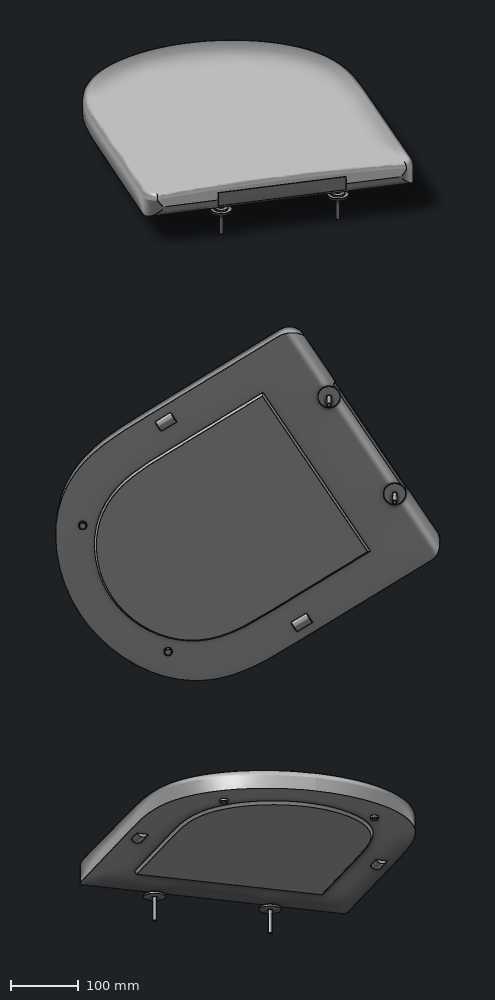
import cadquery as cq
import math

length = 510.5
width = 416.0
half_width = width / 2
straight_start = 248.5
corner_radius = 28.5
rim_fillet = 11.0

nose_pull = 0.53
shoulder_along = 0.29
shoulder_across = 1.02
side_pull = 0.60

nose_height = 30.5
shoulder_height = 43.0
rear_height = 45.5
blank_height = 51.0
crown_mid_height = 39.0
rear_round = 20.5
rear_top_setback = 8.0
crown_radius = 3471.5
swing_margin = 1.2

relief_half_width = 98.5
relief_depth = 3.5
relief_top = 30.5

panel_front = 52.5
panel_rear = 414.5
panel_half_width = 147.0
panel_thickness = 5.0
panel_taper = 30.0

button_x = 78.5
button_y = 117.0
button_diameter = 12.0
button_height = 4.5
button_chamfer = 1.5
bar_x = 256.0
bar_y = 186.0
bar_length = 27.0
bar_diameter = 20.0
bar_drop = 5.0

hinge_y = 90.0
foot_diameter = 33.0
foot_bottom = -6.5
foot_thickness = 3.5
foot_chamfer = 0.5
collar_diameter = 21.0
collar_top = -0.5
shank_diameter = 6.0
shank_bottom = -44.0
shank_chamfer = 0.5
neck_diameter = 7.0
neck_top = 10.0
hinge_x = length - foot_diameter / 2
hinge_points = [(hinge_x, side * hinge_y) for side in (-1, 1)]


def d_outline(front, rear, half):
    """Closed D outline: a smooth nose at the front and a square rear end."""
    depth = straight_start - front
    shoulder_x = front + shoulder_along * depth
    shoulder_y = shoulder_across * half
    side_x = front + side_pull * depth
    nose_y = nose_pull * half
    return (
        cq.Workplane("XY")
        .moveTo(straight_start, -half)
        .lineTo(rear, -half)
        .lineTo(rear, half)
        .lineTo(straight_start, half)
        .bezier(
            [(side_x, half), (shoulder_x, shoulder_y), (front, nose_y), (front, 0)],
            includeCurrent=True,
        )
        .bezier(
            [(front, -nose_y), (shoulder_x, -shoulder_y), (side_x, -half), (straight_start, -half)],
            includeCurrent=True,
        )
        .close()
    )


def make_lid():
    slab = d_outline(0, length, half_width).extrude(blank_height)
    slab = slab.edges("|Z and >X").fillet(corner_radius)

    round_mid = rear_round * math.sqrt(0.5)
    rear_shape = (
        cq.Workplane("XZ")
        .lineTo(length - rear_round, 0)
        .threePointArc(
            (length - rear_round + round_mid, rear_round - round_mid),
            (length, rear_round),
        )
        .lineTo(length - rear_top_setback, blank_height)
        .lineTo(0, blank_height)
        .close()
        .extrude(2 * half_width, both=True)
    )

    swing = math.degrees(swing_margin * half_width / crown_radius)
    crown = (
        cq.Workplane("XZ")
        .moveTo(0, -rear_height)
        .lineTo(0, nose_height)
        .spline(
            [(straight_start / 2, crown_mid_height), (straight_start, shoulder_height), (length, rear_height)],
            includeCurrent=True,
        )
        .lineTo(length, -rear_height)
        .close()
        .revolve(2 * swing, (0, -crown_radius, 0), (1, -crown_radius, 0))
        .rotate((0, 0, -crown_radius), (1, 0, -crown_radius), -swing)
    )
    lid = slab.intersect(rear_shape).intersect(crown)
    lid = lid.faces(">Z").edges().fillet(rim_fillet)

    relief = cq.Workplane("XY").box(
        relief_depth, 2 * relief_half_width, relief_top, centered=(False, True, False)
    )
    lid = lid.cut(relief.translate((length - relief_depth, 0, 0)))

    sockets = (
        cq.Workplane("XY")
        .pushPoints(hinge_points)
        .circle(neck_diameter / 2)
        .extrude(neck_top)
    )
    return lid.cut(sockets)


def make_panel():
    outline = d_outline(panel_front, panel_rear, panel_half_width)
    return outline.extrude(-panel_thickness, taper=panel_taper)


def make_button(side):
    return (
        cq.Workplane("XY")
        .center(button_x, side * button_y)
        .circle(button_diameter / 2)
        .extrude(-button_height)
        .faces("<Z")
        .chamfer(button_chamfer)
    )


def make_bar(side):
    """The lowest slice of a cylinder that lies along X."""
    half_chord = math.sqrt(bar_drop * (bar_diameter - bar_drop))
    return (
        cq.Workplane("YZ", origin=(bar_x, side * bar_y, 0))
        .moveTo(-half_chord, 0)
        .threePointArc((0, -bar_drop), (half_chord, 0))
        .close()
        .extrude(bar_length)
    )


def make_foot(point):
    foot = (
        cq.Workplane("XY", origin=(0, 0, foot_bottom))
        .center(*point)
        .circle(foot_diameter / 2)
        .extrude(foot_thickness)
        .faces(">Z")
        .chamfer(foot_chamfer)
        .faces(">Z")
        .workplane()
        .circle(collar_diameter / 2)
        .extrude(collar_top - foot_bottom - foot_thickness)
    )
    return foot.faces(">Z").workplane().hole(neck_diameter)


def make_stud(point):
    return (
        cq.Workplane("XY", origin=(0, 0, shank_bottom))
        .center(*point)
        .circle(shank_diameter / 2)
        .extrude(foot_bottom - shank_bottom)
        .faces("<Z")
        .chamfer(shank_chamfer)
        .faces(">Z")
        .workplane()
        .circle(neck_diameter / 2)
        .extrude(neck_top - foot_bottom)
    )


lid = make_lid()
panel = make_panel()
buttons = [make_button(side) for side in (-1, 1)]
bars = [make_bar(side) for side in (-1, 1)]
feet = [make_foot(point) for point in hinge_points]
studs = [make_stud(point) for point in hinge_points]

bodies = [lid, panel, *buttons, *bars, *feet, *studs]
result = cq.Compound.makeCompound([body.val() for body in bodies])